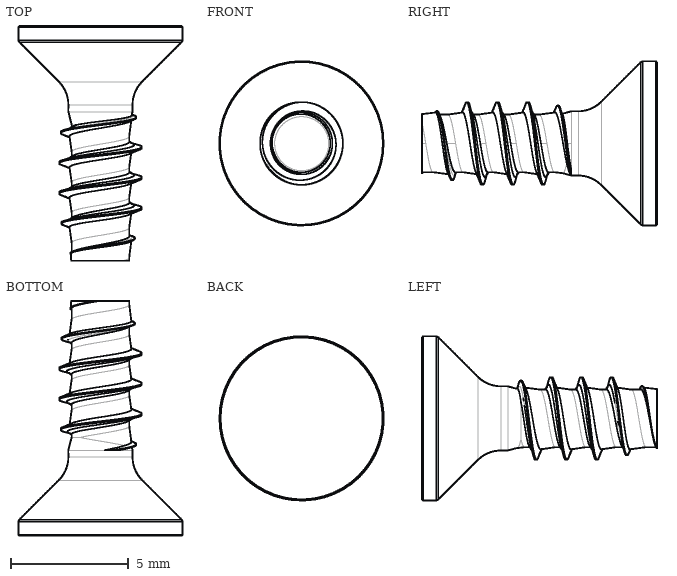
import cadquery as cq
import math

length = 10.0

head_radius = 3.5
rim_chamfer = 0.06
rim_depth = 0.65
rim_edge_trim = 0.04

shank_radius = 1.37
neck_fillet = 1.4
shank_end_depth = 3.65

core_radius = 1.23
core_start_depth = 4.2
dimple_radius = 1.15
dimple_depth = 0.07

pitch = 1.29
crest_radius = 1.76
crest_half_width = 0.03
thread_start_depth = 3.24
thread_end_depth = 10.3
growth_rate = 0.25
fade_start_depth = 8.05
fade_rate = 0.29
start_angle = -math.pi
root_radius = 0.9
lead_flank_width = 0.25
flank_bend_width = 0.11
flank_bend_height = 0.38
trail_flank_width = 0.2
ramp_end_offset = 0.96
ramp_height = 0.09
minimum_step = 0.02
samples_per_turn = 24


def make_head():
    """Revolve the head, the neck, the shank and the cone down to the threaded core."""
    diagonal = math.sqrt(0.5)
    neck_start_radius = shank_radius + neck_fillet * (1 - diagonal)
    neck_start_depth = rim_depth + head_radius - neck_start_radius
    neck_end_depth = neck_start_depth + neck_fillet * diagonal
    neck_mid_angle = math.radians(22.5)
    neck_middle = (
        shank_radius + neck_fillet * (1 - math.cos(neck_mid_angle)),
        -neck_end_depth + neck_fillet * math.sin(neck_mid_angle),
    )
    return (
        cq.Workplane("XY")
        .lineTo(head_radius - rim_chamfer, 0)
        .lineTo(head_radius, -rim_chamfer)
        .lineTo(head_radius, rim_edge_trim - rim_depth)
        .lineTo(head_radius - rim_edge_trim, -rim_depth - rim_edge_trim)
        .lineTo(neck_start_radius, -neck_start_depth)
        .threePointArc(neck_middle, (shank_radius, -neck_end_depth))
        .lineTo(shank_radius, -shank_end_depth)
        .lineTo(core_radius, -core_start_depth)
        .lineTo(0, -core_start_depth)
        .close()
        .revolve(360, (0, 0, 0), (0, 1, 0))
    )


def thread_profile(depth):
    """Corners (offset towards the tip, radius) of the thread section at a depth of its crest."""
    growing = shank_radius + growth_rate * (depth - thread_start_depth)
    fading = crest_radius - fade_rate * (depth - fade_start_depth)
    crest = max(min(growing, crest_radius, fading), core_radius + 2 * minimum_step)
    height = crest - core_radius
    share = height / (crest_radius - core_radius)
    ramp = min(core_radius + ramp_height, crest - minimum_step)
    return [
        (-lead_flank_width * share, root_radius),
        (-lead_flank_width * share, core_radius - minimum_step),
        (-flank_bend_width * share, core_radius + flank_bend_height * height),
        (-crest_half_width * share, crest),
        (crest_half_width * share, crest),
        (trail_flank_width * share, ramp),
        (ramp_end_offset, core_radius - minimum_step),
        (ramp_end_offset, root_radius),
    ]


def make_thread():
    """Join helical curves through the profile corners into one solid."""
    turns = (thread_end_depth - thread_start_depth) / pitch
    steps = round(turns * samples_per_turn)
    parameters = [step / steps for step in range(steps + 1)]
    corner_paths = [[] for _ in thread_profile(thread_start_depth)]
    for parameter in parameters:
        angle = start_angle + 2 * math.pi * turns * parameter
        depth = thread_start_depth + pitch * turns * parameter
        for path, (offset, radius) in zip(corner_paths, thread_profile(depth)):
            path.append(cq.Vector(radius * math.cos(angle), -depth - offset, radius * math.sin(angle)))

    edges = [cq.Edge.makeSpline(path, parameters=parameters) for path in corner_paths]
    faces = [cq.Face.makeRuledSurface(edges[i - 1], edges[i]) for i in range(len(edges))]
    for end in (0, -1):
        outline = cq.Wire.makePolygon([path[end] for path in corner_paths], close=True)
        faces.append(cq.Face.makeFromWires(outline))
    return cq.Workplane(obj=cq.Solid.makeSolid(cq.Shell.makeShell(faces)).fix())


def make_cylinder(radius, start_depth, end_depth):
    """Cylinder along the screw axis between two depths."""
    return (
        cq.Workplane("XZ", origin=(0, -start_depth, 0))
        .circle(radius)
        .extrude(end_depth - start_depth)
    )


def make_threaded_core():
    """Core and thread, overlong at both ends, trimmed to the threaded stretch and dimpled at the tip."""
    core = make_cylinder(core_radius, thread_start_depth - pitch, thread_end_depth + pitch)
    threaded_stretch = make_cylinder(head_radius, shank_end_depth, length)
    dimple = cq.Workplane(
        obj=cq.Solid.makeCone(
            dimple_radius, 0, dimple_depth, cq.Vector(0, -length, 0), cq.Vector(0, 1, 0)
        )
    )
    return core.union(make_thread()).intersect(threaded_stretch).cut(dimple)


result = make_head().union(make_threaded_core())